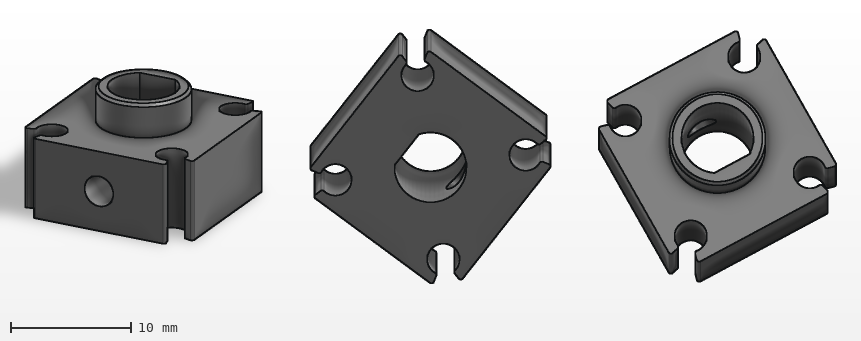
import cadquery as cq
import math

side = 15.88
body_height = 7.15

total_height = 10.16
boss_diameter = 8.0
boss_chamfer = 0.25

bore_diameter = 6.0
bore_flat_offset = 2.5

hole_diameter = 2.7
corner_hole_offset = 5.65
wedge_half_angle = 30.0
lip_fillet = 0.2

cross_hole_height = body_height / 2


def make_corner_cutter(diagonal_angle):
    """Corner hole joined to a wedge whose sides run radially from the hole centre."""
    reach = side / 2
    center_distance = corner_hole_offset * math.sqrt(2)
    angle = math.radians(wedge_half_angle)
    wedge_x = reach * math.cos(angle)
    wedge_y = reach * math.sin(angle)
    hole = cq.Workplane("XY").circle(hole_diameter / 2).extrude(body_height)
    wedge = (
        cq.Workplane("XY")
        .polyline([(0, 0), (wedge_x, -wedge_y), (reach, 0), (wedge_x, wedge_y)])
        .close()
        .extrude(body_height)
    )
    cutter = hole.union(wedge).translate((center_distance, 0, 0))
    return cutter.rotate((0, 0, 0), (0, 0, 1), diagonal_angle)


def make_body():
    body = cq.Workplane("XY").rect(side, side).extrude(body_height)
    for diagonal_angle in (45, 135, 225, 315):
        body = body.cut(make_corner_cutter(diagonal_angle))
    lip_edges = body.edges("|Z")
    return lip_edges.fillet(lip_fillet)


def make_boss():
    return (
        cq.Workplane("XY")
        .circle(boss_diameter / 2)
        .extrude(total_height)
        .faces(">Z")
        .chamfer(boss_chamfer)
    )


def make_bore():
    round_bore = cq.Workplane("XY").circle(bore_diameter / 2).extrude(total_height)
    flat_limit = (
        cq.Workplane("XY")
        .center(0, bore_flat_offset - side / 2)
        .rect(side, side)
        .extrude(total_height)
    )
    return round_bore.intersect(flat_limit)


def make_cross_hole():
    return (
        cq.Workplane("XZ")
        .center(0, cross_hole_height)
        .circle(hole_diameter / 2)
        .extrude(side / 2)
    )


result = make_body().union(make_boss()).cut(make_bore()).cut(make_cross_hole())